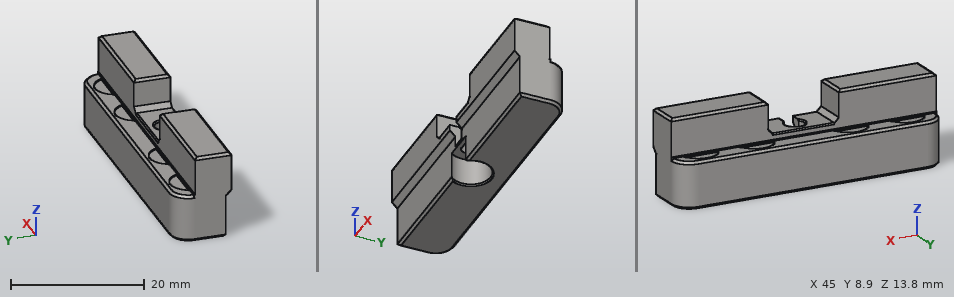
import cadquery as cq

length = 45.0
depth = 8.9
height = 13.85
edge_chamfer = 0.4

block_depth = 5.8
front_step = 0.9
step_bottom = 6.85

ledge_height = 7.6
ledge_corner_radius = 3.0
rim_thickness = 0.15
rim_height = 0.2
rim_end = block_depth + rim_thickness

notch_width = 11.95
notch_floor = 8.75
notch_corner = 0.75
notch_bevel = 0.22

hole_diameter = 3.2
hole_y = 2.92
hole_chamfer = 0.22
counterbore_diameter = 6.5
counterbore_top = 4.65
counterbore_chamfer = 0.22
slot_width = 2.4
slot_bottom = 5.15
bridge_depth = 0.75
bridge_recess_diameter = 3.45
bridge_recess_depth = 0.2

recess_diameter = 6.2
recess_depth = 0.2
recess_y = 4.95
recess_gap = 0.1
recess_positions = (7.95, 17.5)


def make_box(width, y_start, y_end, z_start, z_end):
    """Box centred on X between the given Y and Z limits."""
    size_y = y_end - y_start
    size_z = z_end - z_start
    box = cq.Workplane("XY").box(width, size_y, size_z, centered=(True, False, False))
    return box.translate((0, y_start, z_start))


def make_cylinder(diameter, x, y, z_start, z_end):
    """Vertical cylinder between two heights."""
    base = cq.Workplane("XY", origin=(x, y, z_start))
    return base.circle(diameter / 2).extrude(z_end - z_start)


def make_block():
    """Block with the stepped front, split into two upper halves by the notch."""
    side_profile = [
        (front_step, 0),
        (block_depth, 0),
        (block_depth, height),
        (0, height),
        (0, step_bottom + front_step),
        (front_step, step_bottom),
    ]
    block = cq.Workplane("YZ").polyline(side_profile).close().extrude(length / 2, both=True)

    half_notch = notch_width / 2
    half_floor = half_notch - notch_corner
    notch_profile = [
        (-half_floor, notch_floor),
        (half_floor, notch_floor),
        (half_notch, notch_floor + notch_corner),
        (half_notch, height),
        (-half_notch, height),
        (-half_notch, notch_floor + notch_corner),
    ]
    block = block.cut(cq.Workplane("XZ").polyline(notch_profile).close().extrude(-block_depth))
    block = block.faces(">Z").edges().chamfer(edge_chamfer)

    bevel_profile = [
        (block_depth, notch_floor - notch_bevel),
        (block_depth, notch_floor),
        (block_depth - notch_bevel, notch_floor),
    ]
    bevel = cq.Workplane("YZ").polyline(bevel_profile).close().extrude(half_floor, both=True)
    return block.cut(bevel)


def make_ledge():
    """Lower body with rounded rear corners and a chamfered top edge behind the block."""
    ledge = make_box(length, front_step, depth, 0, ledge_height)
    ledge = ledge.edges("|Z and >Y").fillet(ledge_corner_radius)
    ledge = ledge.faces(">Z").edges().chamfer(edge_chamfer)
    behind_block = make_box(length, block_depth, depth, 0, ledge_height)
    return ledge.intersect(behind_block)


def cut_recesses(body):
    """Mirrored pairs of round recesses in the ledge, ending just short of the rim."""
    ledge_zone = make_box(length, rim_end + recess_gap, depth, 0, height)
    for position in recess_positions:
        for x in (-position, position):
            recess = make_cylinder(recess_diameter, x, recess_y, ledge_height - recess_depth, ledge_height)
            body = body.cut(recess.intersect(ledge_zone))
    return body


def cut_screw_hole(body):
    """Screw hole, front slot and counterbore, with a thin bridge left under the slot."""
    hole = make_cylinder(hole_diameter, 0, hole_y, 0, notch_floor)
    mouth = cq.Workplane("XY", origin=(0, hole_y, notch_floor))
    mouth = mouth.circle(hole_diameter / 2 + hole_chamfer).extrude(-hole_chamfer, taper=45)
    slot = make_box(slot_width, 0, hole_y, slot_bottom, notch_floor)
    counterbore = make_cylinder(counterbore_diameter, 0, hole_y, 0, counterbore_top)
    flare = cq.Workplane("XY", origin=(0, hole_y, 0))
    flare = flare.circle(counterbore_diameter / 2 + counterbore_chamfer)
    flare = flare.extrude(counterbore_chamfer, taper=45)
    for cutter in (hole, mouth, slot, counterbore, flare):
        body = body.cut(cutter)

    bridge = make_box(slot_width, front_step, front_step + bridge_depth, counterbore_top, slot_bottom)
    bridge_recess = make_cylinder(
        bridge_recess_diameter, 0, hole_y, slot_bottom - bridge_recess_depth, slot_bottom
    )
    return body.union(bridge.cut(bridge_recess))


rim = make_box(length, block_depth, rim_end, ledge_height - edge_chamfer, ledge_height + rim_height)

body = make_block().union(make_ledge()).union(rim)
body = body.faces("<Z").edges().chamfer(edge_chamfer)
body = cut_recesses(body)
result = cut_screw_hole(body)